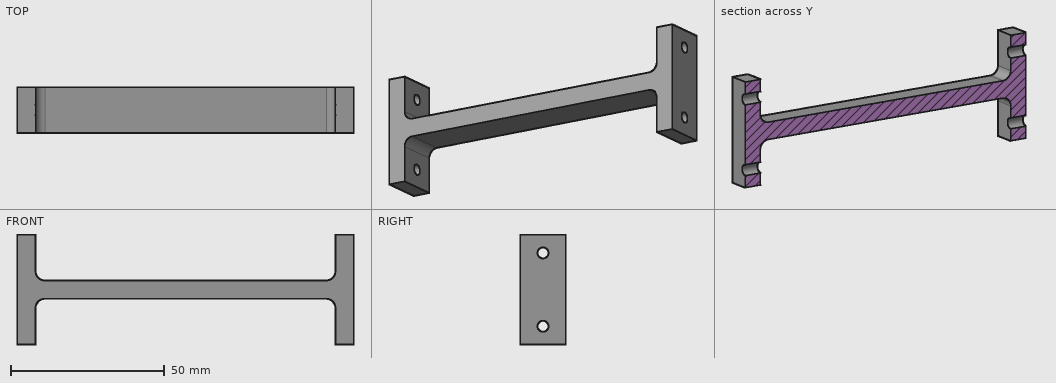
import cadquery as cq

length = 110.0
width = 15.0
height = 36.0

wall = 6.0
fillet_radius = 3.0

hole_diameter = 3.5
hole_spacing = 24.0


def end_plate(side):
    """Upright plate at the -X end (side = -1) or the +X end (side = 1)."""
    center_x = side * (length - wall) / 2
    return cq.Workplane("XY").box(wall, width, height).translate((center_x, 0, 0))


web = cq.Workplane("XY").box(length, width, wall)
body = web.union(end_plate(-1)).union(end_plate(1))

corner_x = length / 2 - wall
corner_z = wall / 2
margin = wall / 4
inside_corners = cq.selectors.BoxSelector(
    (-corner_x - margin, -width, -corner_z - margin),
    (corner_x + margin, width, corner_z + margin),
)
body = body.edges("|Y").edges(inside_corners).fillet(fillet_radius)

holes = (
    cq.Workplane("YZ")
    .pushPoints([(0, -hole_spacing / 2), (0, hole_spacing / 2)])
    .circle(hole_diameter / 2)
    .extrude(length / 2, both=True)
)
result = body.cut(holes)